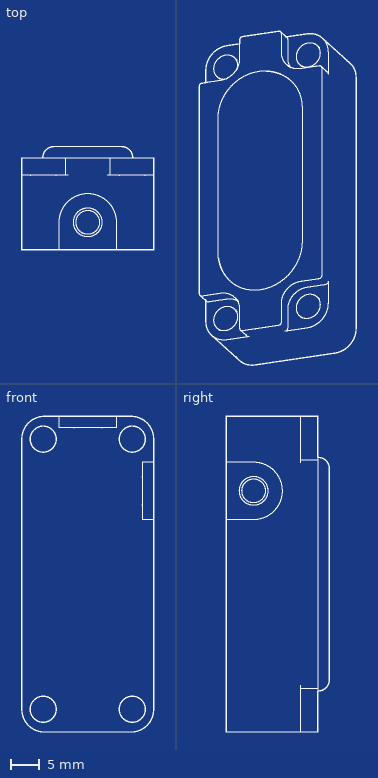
import cadquery as cq

width = 23.0
height = 55.0
housing_depth = 16.0
corner_radius = 4.0

mount_hole_diameter = 4.5
mount_spacing_x = 15.5
mount_spacing_z = 47.0

notch_depth = 3.0
notch_radius = 3.6
notch_edge_fillet = 0.5

recess_radius = 5.0
recess_depth = 2.0
entry_y = 4.8
side_entry_from_top = 13.0
port_diameter = 4.13
port_mouth_diameter = 5.0
port_depth = 8.0
port_floor_fillet = 0.5
port_chamfer = (port_mouth_diameter - port_diameter) / 2

pad_height = 40.7
pad_width = 15.7
pad_thickness = 2.0
pad_edge_land = 0.01
pad_edge_fillet = pad_thickness - pad_edge_land

half_width = width / 2
half_height = height / 2


def back_plane(y):
    """Work plane at depth y whose normal points toward +Y, with local axes (-X, Z)."""
    return cq.Workplane(cq.Plane(origin=(0, y, 0), xDir=(-1, 0, 0), normal=(0, 1, 0)))


def make_notch(side_x, side_z):
    """Cutter for the corner at sides (side_x, side_z): round inner corner, flared rounded mouths."""
    arc_x = half_width - corner_radius
    arc_z = half_height - corner_radius
    inner_x = arc_x - notch_radius
    inner_z = arc_z - notch_radius
    turn = side_x * side_z

    def corner_point(x, z):
        return (-side_x * x, side_z * z)

    return (
        back_plane(housing_depth - notch_depth)
        .moveTo(*corner_point(inner_x - notch_edge_fillet, half_height))
        .radiusArc(corner_point(inner_x, half_height - notch_edge_fillet), -turn * notch_edge_fillet)
        .lineTo(*corner_point(inner_x, arc_z))
        .radiusArc(corner_point(arc_x, inner_z), turn * notch_radius)
        .lineTo(*corner_point(half_width - notch_edge_fillet, inner_z))
        .radiusArc(corner_point(half_width, inner_z - notch_edge_fillet), -turn * notch_edge_fillet)
        .lineTo(*corner_point(half_width, half_height))
        .close()
        .extrude(notch_depth)
    )


def make_entry(face_plane):
    """Cutter for one cable entry; the plane lies on the outer face, its local y axis along +Y."""
    recess = (
        cq.Workplane(face_plane)
        .moveTo(-recess_radius, 0)
        .lineTo(-recess_radius, entry_y)
        .threePointArc((0, entry_y + recess_radius), (recess_radius, entry_y))
        .lineTo(recess_radius, 0)
        .close()
        .extrude(-recess_depth)
    )
    port = (
        cq.Workplane(face_plane)
        .workplane(offset=-recess_depth)
        .center(0, entry_y)
        .circle(port_diameter / 2)
        .extrude(-port_depth)
        .faces(cq.DirectionMinMaxSelector(face_plane.zDir, False))
        .edges()
        .fillet(port_floor_fillet)
    )
    mouth = (
        cq.Workplane(face_plane)
        .workplane(offset=-recess_depth)
        .center(0, entry_y)
        .circle(port_mouth_diameter / 2)
        .workplane(offset=-port_chamfer)
        .circle(port_diameter / 2)
        .loft()
    )
    return recess.union(port).union(mouth)


def make_housing():
    """Rounded block with mounting holes, corner notches, and entries on the top and +X sides."""
    block = (
        back_plane(0)
        .rect(width, height)
        .extrude(housing_depth)
        .edges("|Y")
        .fillet(corner_radius)
    )
    mount_holes = (
        back_plane(0)
        .rect(mount_spacing_x, mount_spacing_z, forConstruction=True)
        .vertices()
        .circle(mount_hole_diameter / 2)
        .extrude(housing_depth)
    )
    body = block.cut(mount_holes)
    for side_x in (-1, 1):
        for side_z in (-1, 1):
            body = body.cut(make_notch(side_x, side_z))
    top_face = cq.Plane(origin=(0, 0, half_height), xDir=(1, 0, 0), normal=(0, 0, 1))
    side_face = cq.Plane(
        origin=(half_width, 0, half_height - side_entry_from_top), xDir=(0, 0, -1), normal=(1, 0, 0)
    )
    return body.cut(make_entry(top_face)).cut(make_entry(side_face))


def make_pad():
    """Upright stadium-shaped pad with a rounded rim, seated on the back of the housing."""
    return (
        back_plane(housing_depth)
        .slot2D(pad_height, pad_width, 90)
        .extrude(pad_thickness)
        .faces(">Y")
        .edges()
        .fillet(pad_edge_fillet)
    )


housing = make_housing()
pad = make_pad()

result = cq.Compound.makeCompound([housing.val(), pad.val()])